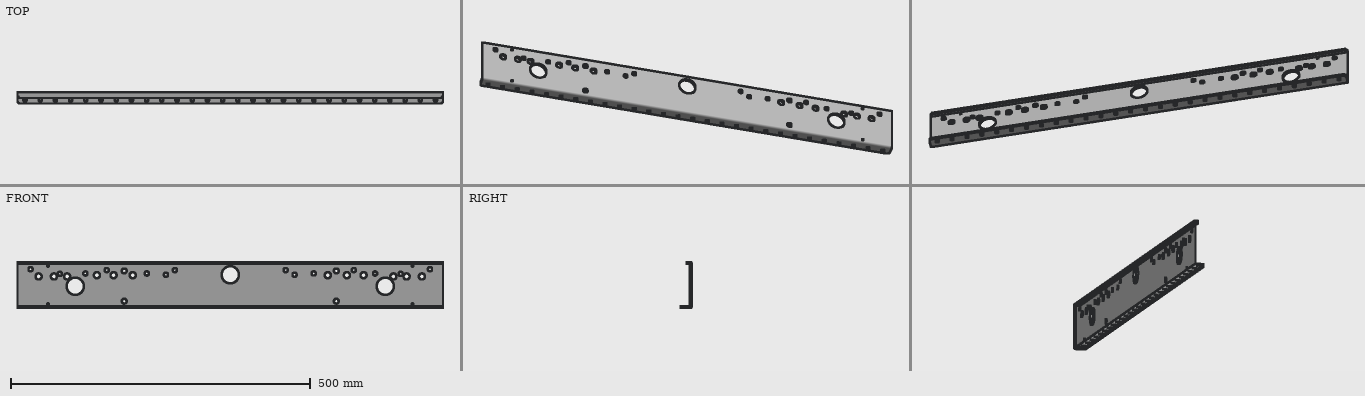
import cadquery as cq

length = 711.0
depth = 19.0
height = 77.5
thickness = 4.0
bend_radius = 4.0
top_flange_depth = 9.0
bottom_corner_radius = 5.0
top_corner_chamfer = 3.5

flange_hole_diameter = 5.3
flange_hole_count = 28
flange_hole_pitch = 25.4
flange_hole_setback = 6.5

opening_diameter = 28.5
center_opening_z = 17.0
side_opening_x = 259.0
side_opening_z = -2.0

pilot_diameter = 2.55
pilot_places = [(304.5, 32.0), (304.5, -32.0)]
small_diameter = 6.75
small_places = [
    (92.5, 25.0), (107.5, 17.0), (139.5, 19.0), (206.0, 25.0),
    (242.0, 19.0), (284.5, 18.5), (333.5, 26.0),
]
medium_diameter = 8.0
medium_places = [(177.0, 23.5), (177.0, -27.0)]
large_diameter = 10.0
large_places = [
    (163.0, 16.5), (195.0, 16.5), (222.5, 16.5),
    (272.5, 14.0), (294.5, 14.0), (320.0, 14.0),
]

back_y = depth / 2
front_y = -depth / 2
bottom_z = -height / 2


def block(y_min, z_min, y_size, z_size):
    """Full-length bar placed by its lowest Y and Z."""
    start = cq.Workplane("XY", origin=(0, y_min, z_min))
    return start.box(length, y_size, z_size, centered=(True, False, False))


def folded_channel():
    """Web with a wide bottom flange and a narrow top flange, both folded toward -Y."""
    outside = block(front_y, bottom_z, depth, height)
    outside = outside.edges("|X and >Y").fillet(bend_radius)
    inside = block(
        front_y, bottom_z + thickness, depth - thickness, height - 2 * thickness
    )
    beyond_top_flange = block(
        front_y, bottom_z + thickness, depth - top_flange_depth, height - thickness
    )
    channel = outside.cut(inside).cut(beyond_top_flange)
    bottom_corners = channel.faces("<Y").edges("|Z")
    channel = bottom_corners.fillet(bottom_corner_radius)
    top_flange_edge = (0, back_y - top_flange_depth, height / 2 - thickness / 2)
    top_corners = channel.faces(cq.NearestToPointSelector(top_flange_edge)).edges("|Z")
    return top_corners.chamfer(top_corner_chamfer)


def web_holes(places, diameter):
    """Cutters through the web at (x, z) places."""
    web_plane = cq.Workplane("XZ", origin=(0, back_y, 0))
    return web_plane.pushPoints(places).circle(diameter / 2).extrude(thickness)


def mirrored(places):
    """Each place together with its mirror image across the middle of the rail."""
    return [(side * x, z) for x, z in places for side in (-1, 1)]


def flange_holes():
    """Evenly spaced cutters through the bottom flange."""
    row = cq.Workplane("XY", origin=(0, front_y + flange_hole_setback, bottom_z))
    row = row.rarray(flange_hole_pitch, 7, flange_hole_count, 1)
    return row.circle(flange_hole_diameter / 2).extrude(thickness)


result = folded_channel().cut(flange_holes())
result = result.cut(web_holes([(0, center_opening_z)], opening_diameter))
result = result.cut(web_holes(mirrored([(side_opening_x, side_opening_z)]), opening_diameter))
for places, diameter in (
    (pilot_places, pilot_diameter),
    (small_places, small_diameter),
    (medium_places, medium_diameter),
    (large_places, large_diameter),
):
    result = result.cut(web_holes(mirrored(places), diameter))